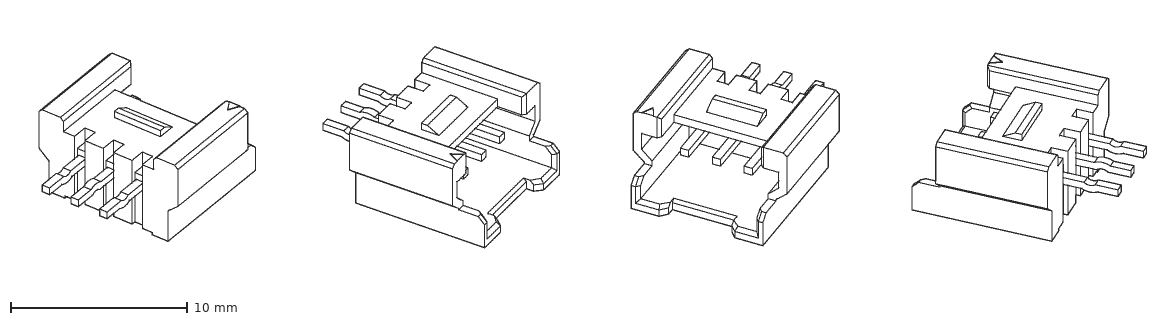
import cadquery as cq
import math


overall_width = 9.7
base_half_width = 4.15
body_length = 8.51
wing_length = 6.8
total_height = 5.55
marker_height = 0.04
wing_top = total_height - marker_height
slab_top = 4.6
shoulder_top = 2.74
shoulder_bottom = 2.12
ledge_top = 2.03
ledge_slope = 0.42
wing_half_width = overall_width / 2
wing_inner = 3.15
wing_chamfer = 0.2
wing_outer_chamfer_width = 0.24

cavity_half_width = 3.66
groove_lift = 0.24
cavity_back = 2.01
cavity_ceiling = 4.07
slab_front = 5.02
wall = slab_top - cavity_ceiling
lead_in_length = 0.24
lead_in_width = 0.21

notch_half_width = 2.0
notch_back = 7.6
notch_corner_width = 0.39
notch_corner_length = 0.42
notch_chamfer = 0.19
lip_corner_shift = 0.08

recess_half_width = 3.05
recess_height = 0.15
floor_top = recess_height + wall

wedge_half_width = 1.6
wedge_height = 0.42
wedge_back = 2.81
wedge_crest = 3.21
wedge_front = 3.98

marker_x = 3.93
marker_half_width = 0.38
marker_length = 0.7

pin_pitch = 2.01
pin_positions = (-pin_pitch, 0, pin_pitch)
pin_width = 0.52
pin_thickness = 0.47
pin_z = 2.94
pin_tip = 5.98
overall_length = 11.8
pin_tail = body_length - overall_length
bend_y = -1.57
bend_half_length = 0.48
bend_rise = 0.13
slot_width = 0.72
slot_depth = 1.0
slot_step_depth = 0.27
slot_step_top = 3.6

clearance = 0.59


def box(x_min, x_max, y_min, y_max, z_min, z_max):
    size = (x_max - x_min, y_max - y_min, z_max - z_min)
    return cq.Workplane("XY").box(*size, centered=False).translate((x_min, y_min, z_min))


def prism_along_y(points, y_min, y_max):
    """Extrude an XZ outline from y_min to y_max."""
    return cq.Workplane("XZ", origin=(0, y_min, 0)).polyline(points).close().extrude(y_min - y_max)


def prism_along_x(points, half_width):
    """Extrude a YZ outline symmetrically about X = 0."""
    return cq.Workplane("YZ").polyline(points).close().extrude(half_width, both=True)


def mirrored(right_half):
    """Complete an outline whose right half is given, adding its points mirrored about X = 0."""
    return right_half + [(-x, z) for x, z in reversed(right_half)]


def make_shell():
    section = mirrored([
        (base_half_width, 0),
        (base_half_width, shoulder_bottom),
        (wing_half_width, shoulder_top),
        (wing_half_width, wing_top - wing_chamfer),
        (wing_half_width - wing_outer_chamfer_width, wing_top),
        (wing_inner + wing_chamfer, wing_top),
        (wing_inner, wing_top - wing_chamfer),
        (wing_inner, slab_top),
    ])
    base_profile = [
        (0, 0),
        (body_length, 0),
        (body_length, ledge_top - ledge_slope),
        (body_length - ledge_slope, ledge_top),
        (0, ledge_top),
    ]
    return prism_along_y(section, 0, wing_length).union(prism_along_x(base_profile, base_half_width))


def make_cavity():
    """Mating pocket that widens into a groove inside each wing, open above beyond the slab."""
    mouth = body_length + clearance
    groove_half_width = wing_half_width - wall
    section = mirrored([
        (cavity_half_width, floor_top),
        (cavity_half_width, shoulder_bottom + groove_lift),
        (groove_half_width, shoulder_top + groove_lift),
        (groove_half_width, cavity_ceiling),
    ])
    pocket = prism_along_y(section, cavity_back, mouth)
    slab_cutback = box(-wing_inner, wing_inner, slab_front, mouth, floor_top, total_height)
    return pocket.union(slab_cutback)


def make_wing_lead_in(side):
    """Vertical chamfer on the inner mouth edge of one wing."""
    corner = [
        (side * wing_inner, wing_length - wing_chamfer),
        (side * (wing_inner + wing_chamfer), wing_length),
        (side * wing_inner, wing_length),
    ]
    return (
        cq.Workplane("XY", origin=(0, 0, cavity_ceiling))
        .polyline(corner).close().extrude(wing_top - cavity_ceiling)
    )


def make_wall_lead_in(side):
    """Bevel on the inner mouth edge of a side wall, following its sloped end."""
    far = body_length + clearance
    top = ledge_top + clearance
    end_outline = [
        (body_length, floor_top),
        (body_length, ledge_top - ledge_slope),
        (body_length - ledge_slope, ledge_top),
        (body_length - ledge_slope, top),
        (far, top),
        (far, floor_top),
    ]
    inner_outline = [(y - lead_in_length, z) for y, z in end_outline]
    return (
        cq.Workplane("YZ", origin=(side * cavity_half_width, 0, 0))
        .polyline(inner_outline).close()
        .workplane(offset=side * lead_in_width)
        .polyline(end_outline).close()
        .loft(ruled=True)
    )


def make_floor_lip():
    """Bevel along the front edge of the floor and the slanted corners of its notch."""
    mouth_half_width = cavity_half_width + lead_in_width
    corner_x = notch_half_width + notch_corner_width
    corner_y = body_length - notch_corner_length
    outside = (mouth_half_width + lead_in_width, body_length + lead_in_length)
    lower = mirrored([
        outside,
        (mouth_half_width, body_length),
        (corner_x, body_length),
        (notch_half_width, corner_y),
    ])
    upper = mirrored([
        outside,
        (cavity_half_width, body_length - lead_in_length),
        (corner_x + lip_corner_shift, body_length - lead_in_length),
        (notch_half_width, corner_y - lead_in_length),
    ])
    return (
        cq.Workplane("XY", origin=(0, 0, floor_top - lead_in_length))
        .polyline(lower).close()
        .workplane(offset=lead_in_length)
        .polyline(upper).close()
        .loft(ruled=True)
    )


def make_notch():
    outline = mirrored([
        (notch_half_width, notch_back),
        (notch_half_width, body_length - notch_corner_length),
        (notch_half_width + notch_corner_width, body_length),
    ])
    opening = cq.Workplane("XY").polyline(outline).close().extrude(floor_top)
    back_chamfer = prism_along_x(
        [
            (notch_back, floor_top),
            (notch_back, floor_top - notch_chamfer),
            (notch_back - notch_chamfer, floor_top),
        ],
        notch_half_width,
    )
    return opening.union(back_chamfer)


def make_pin_slot(x):
    """Stepped slot in the solder-side wall: shallow over its full height, deeper near the top."""
    left = x - slot_width / 2
    right = x + slot_width / 2
    shallow = box(left, right, -clearance, slot_step_depth, 0, slab_top)
    deep = box(left, right, -clearance, slot_depth, slot_step_top, slab_top)
    return shallow.union(deep)


def make_wedge():
    crest = slab_top + wedge_height
    profile = [(wedge_back, slab_top), (wedge_back, crest), (wedge_crest, crest), (wedge_front, slab_top)]
    return prism_along_x(profile, wedge_half_width)


def make_marker():
    outline = [
        (marker_x - marker_half_width, wing_length),
        (marker_x, wing_length - marker_length),
        (marker_x + marker_half_width, wing_length),
    ]
    return cq.Workplane("XY", origin=(0, 0, wing_top)).polyline(outline).close().extrude(marker_height)


def make_pin(x, bend_direction):
    """Straight square pin with a kink of two concentric arcs, bent up (+1) or down (-1)."""
    outer_radius = (bend_half_length ** 2 + bend_rise ** 2) / (2 * bend_rise)
    inner_radius = outer_radius - pin_thickness
    centre_depth = inner_radius - bend_rise
    inner_half_length = math.sqrt(inner_radius ** 2 - centre_depth ** 2)
    outer_z = pin_z + bend_direction * pin_thickness / 2
    inner_z = pin_z - bend_direction * pin_thickness / 2
    rise = bend_direction * bend_rise
    return (
        cq.Workplane("YZ", origin=(x, 0, 0))
        .moveTo(pin_tail, outer_z)
        .lineTo(bend_y - bend_half_length, outer_z)
        .threePointArc((bend_y, outer_z + rise), (bend_y + bend_half_length, outer_z))
        .lineTo(pin_tip, outer_z)
        .lineTo(pin_tip, inner_z)
        .lineTo(bend_y + inner_half_length, inner_z)
        .threePointArc((bend_y, inner_z + rise), (bend_y - inner_half_length, inner_z))
        .lineTo(pin_tail, inner_z)
        .close()
        .extrude(pin_width / 2, both=True)
    )


housing = make_shell().cut(make_cavity()).cut(make_notch()).cut(make_floor_lip())
for side in (-1, 1):
    housing = housing.cut(make_wing_lead_in(side)).cut(make_wall_lead_in(side))
for x in pin_positions:
    housing = housing.cut(make_pin_slot(x))
housing = housing.cut(box(-recess_half_width, recess_half_width, -clearance, slot_depth, 0, recess_height))
housing = housing.union(make_wedge()).union(make_marker())

result = housing
for x in pin_positions:
    result = result.union(make_pin(x, 1 if x == 0 else -1))